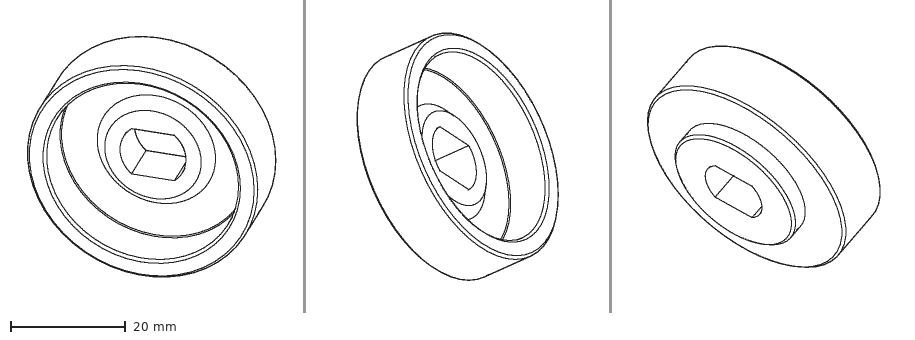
import cadquery as cq

wheel_diameter = 42.0
wheel_width = 11.5
total_width = 15.0
boss_diameter = 25.5
edge_chamfer = 0.5

recess_mouth_diameter = 36.0
recess_diameter = 35.0
floor_chamfer = 0.2
recess_depth = 8.5

hub_base_diameter = 21.6
hub_top_diameter = 17.6
hub_top_inset = 6.5

bore_diameter = 12.0
bore_across_flats = 9.1

wheel_radius = wheel_diameter / 2
boss_radius = boss_diameter / 2
mouth_radius = recess_mouth_diameter / 2
recess_radius = recess_diameter / 2
hub_base_radius = hub_base_diameter / 2
hub_top_radius = hub_top_diameter / 2


def revolved_body():
    """Chamfered wheel with rear boss, front recess and conical hub, as (radius, y) points."""
    profile = [
        (0, hub_top_inset),
        (hub_top_radius, hub_top_inset),
        (hub_base_radius, recess_depth),
        (recess_radius - floor_chamfer, recess_depth),
        (recess_radius, recess_depth - floor_chamfer),
        (recess_radius, mouth_radius - recess_radius),
        (mouth_radius, 0),
        (wheel_radius - edge_chamfer, 0),
        (wheel_radius, edge_chamfer),
        (wheel_radius, wheel_width - edge_chamfer),
        (wheel_radius - edge_chamfer, wheel_width),
        (boss_radius, wheel_width),
        (boss_radius, total_width - edge_chamfer),
        (boss_radius - edge_chamfer, total_width),
        (0, total_width),
    ]
    return cq.Workplane("XY").polyline(profile).close().revolve(360, (0, 0), (0, 1))


def double_flat_bore():
    """Round through bore with flats above and below the axis."""
    round_bore = cq.Workplane("XZ").circle(bore_diameter / 2).extrude(-total_width)
    flats = cq.Workplane("XZ").rect(bore_diameter, bore_across_flats).extrude(-total_width)
    return round_bore.intersect(flats)


result = revolved_body().cut(double_flat_bore())